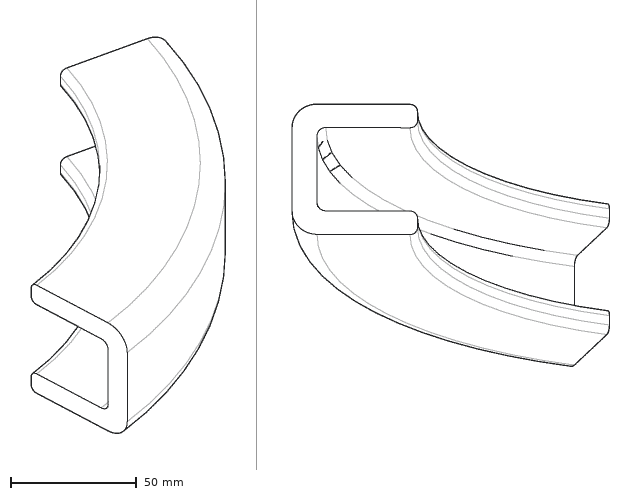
import cadquery as cq

bend_outer_radius = 167.4
bend_angle = 70.0
channel_width = 50.0
channel_height = 55.4
wall_thickness = 10.0
outer_corner_radius = 10.0
inner_corner_radius = 3.5
flange_tip_radius = 3.0

bend_inner_radius = bend_outer_radius - channel_width
channel_mid_radius = bend_outer_radius - channel_width / 2
cavity_depth = channel_width - wall_thickness
cavity_height = channel_height - 2 * wall_thickness
cavity_outer_radius = bend_outer_radius - wall_thickness
cavity_mid_radius = bend_inner_radius + cavity_depth / 2


def cavity_corners():
    """Selector for the two section vertices where the web meets the flanges."""
    margin = wall_thickness / 2
    half_height = cavity_height / 2 + margin
    return cq.selectors.BoxSelector(
        (cavity_outer_radius - margin, -half_height, -margin),
        (cavity_outer_radius + margin, half_height, margin),
    )


def channel_section():
    """C-shaped section, open toward the bend axis, with all corners rounded."""
    return (
        cq.Sketch()
        .push([(channel_mid_radius, 0)])
        .rect(channel_width, channel_height)
        .reset()
        .push([(cavity_mid_radius, 0)])
        .rect(cavity_depth, cavity_height, mode="s")
        .reset()
        .vertices(">X")
        .fillet(outer_corner_radius)
        .reset()
        .vertices("<X")
        .fillet(flange_tip_radius)
        .reset()
        .vertices(cavity_corners())
        .fillet(inner_corner_radius)
        .reset()
    )


def bent_channel():
    """Revolve the section about the Z axis, from +X toward +Y."""
    axis_start = (0, 0, 0)
    axis_end = (0, 1, 0)
    return (
        cq.Workplane("XZ")
        .placeSketch(channel_section())
        .revolve(bend_angle, axis_start, axis_end)
    )


result = bent_channel()